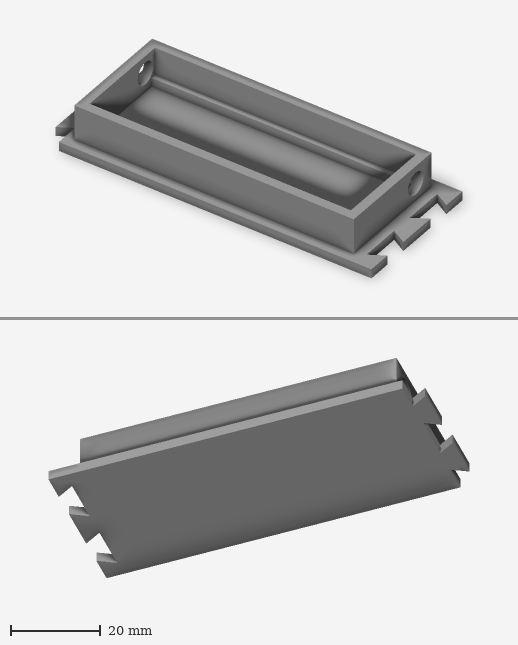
import cadquery as cq
import math

total_length = 88.35
plate_width = 35.7
plate_thickness = 2.5
total_height = 12.0

dovetail_angle = math.radians(30)
dovetail_spacing = 16.9
tab_length = 3.8
tab_root_width = 6.0
socket_depth = 4.1
socket_mouth_width = 6.2

box_length = 75.6
box_width = 30.6
wall = 2.5
floor_thickness = 2.0
box_start = 6.2
cable_hole_diameter = 6.0
cable_hole_y = 9.0

ledge_width = 1.3
ledge_top = 4.5

plate_start = tab_length
plate_length = total_length - tab_length
box_center_x = box_start + box_length / 2
pocket_length = box_length - 2 * wall
pocket_width = box_width - 2 * wall
dovetail_centers = (-dovetail_spacing / 2, dovetail_spacing / 2)


def block(length, width, bottom, top, center_x, center_y=0):
    """Rectangular block between two heights."""
    return (
        cq.Workplane("XY", origin=(center_x, center_y, bottom))
        .rect(length, width)
        .extrude(top - bottom)
    )


def dovetail(narrow_x, length, narrow_width, center_y):
    """Dovetail prism that widens from narrow_x toward -X."""
    narrow_half = narrow_width / 2
    wide_half = narrow_half + length * math.tan(dovetail_angle)
    wide_x = narrow_x - length
    return (
        cq.Workplane("XY")
        .polyline([
            (narrow_x, center_y - narrow_half),
            (narrow_x, center_y + narrow_half),
            (wide_x, center_y + wide_half),
            (wide_x, center_y - wide_half),
        ])
        .close()
        .extrude(plate_thickness)
    )


result = block(plate_length, plate_width, 0, plate_thickness, plate_start + plate_length / 2)
for center_y in dovetail_centers:
    result = result.union(dovetail(plate_start, tab_length, tab_root_width, center_y))
    result = result.cut(dovetail(total_length, socket_depth, socket_mouth_width, center_y))

result = result.union(block(box_length, box_width, 0, total_height, box_center_x))
result = result.cut(block(pocket_length, pocket_width, floor_thickness, total_height, box_center_x))

ledge_center_y = (pocket_width - ledge_width) / 2
ledge = block(pocket_length, ledge_width, floor_thickness, ledge_top, box_center_x, ledge_center_y)
result = result.union(ledge)

cable_hole_z = (plate_thickness + total_height) / 2
cable_hole = (
    cq.Workplane("YZ", origin=(box_start, cable_hole_y, cable_hole_z))
    .circle(cable_hole_diameter / 2)
    .extrude(box_length)
)
result = result.cut(cable_hole)

result = result.translate((-total_length / 2, 0, 0))